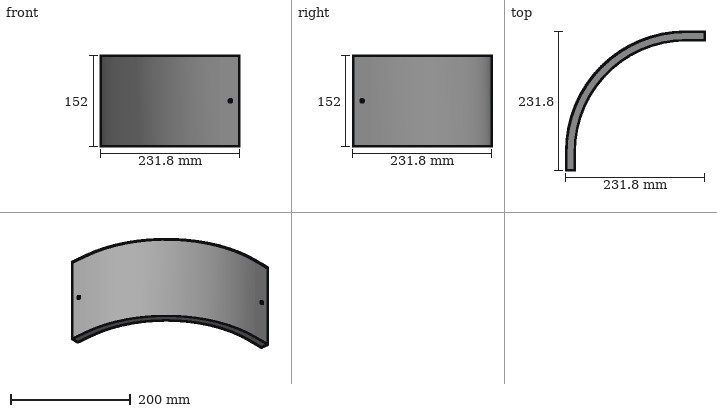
import cadquery as cq

side = 231.8
height = 152.0
leg = 31.5
flange_depth = 14.8
thickness = 1.0
hole_diameter = 5.0
hole_from_end = 15.0

outer_radius = side - leg
bend_center = outer_radius


def bent_strip(depth, strip_height):
    """Strip of the given depth, lying inside the outer outline, from Z = 0 up."""
    inner_radius = outer_radius - depth
    return (
        cq.Workplane("XY")
        .moveTo(0, -side)
        .lineTo(0, -bend_center)
        .radiusArc((bend_center, 0), outer_radius)
        .lineTo(side, 0)
        .lineTo(side, -depth)
        .lineTo(bend_center, -depth)
        .radiusArc((depth, -bend_center), -inner_radius)
        .lineTo(depth, -side)
        .close()
        .extrude(strip_height)
    )


wall = bent_strip(thickness, height)
bottom_flange = bent_strip(flange_depth, thickness)
top_flange = bottom_flange.translate((0, 0, height - thickness))
channel = wall.union(bottom_flange).union(top_flange)

hole_along = side - hole_from_end
hole_length = 2 * flange_depth
hole = cq.Workplane("XY").circle(hole_diameter / 2).extrude(hole_length, both=True)
x_leg_hole = hole.rotate((0, 0, 0), (1, 0, 0), 90).translate((hole_along, 0, height / 2))
y_leg_hole = hole.rotate((0, 0, 0), (0, 1, 0), 90).translate((0, -hole_along, height / 2))

result = channel.cut(x_leg_hole).cut(y_leg_hole)